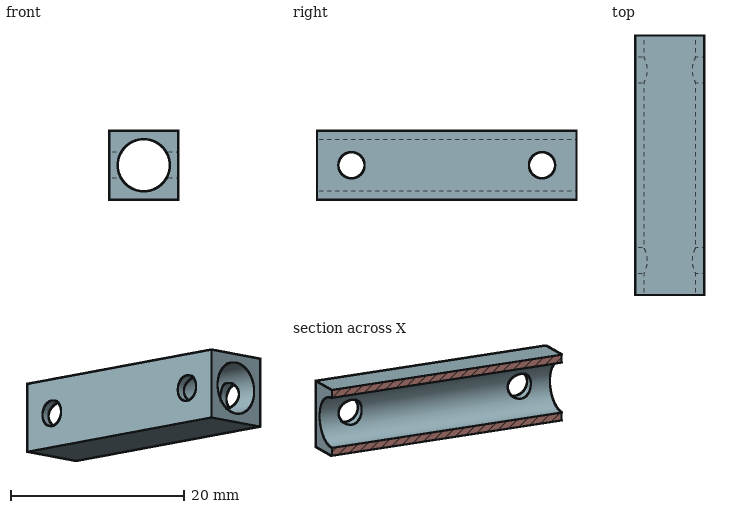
import cadquery as cq

length = 30.0
width = 8.0
bore_diameter = 6.0
cross_hole_diameter = 3.0
end_distance = 4.0

hole_offset = length / 2 - end_distance

bar = cq.Workplane("XY").box(width, length, width)

bore = cq.Workplane("XZ").circle(bore_diameter / 2).extrude(length / 2, both=True)

cross_holes = (
    cq.Workplane("YZ")
    .pushPoints([(-hole_offset, 0), (hole_offset, 0)])
    .circle(cross_hole_diameter / 2)
    .extrude(width / 2, both=True)
)

result = bar.cut(bore).cut(cross_holes)